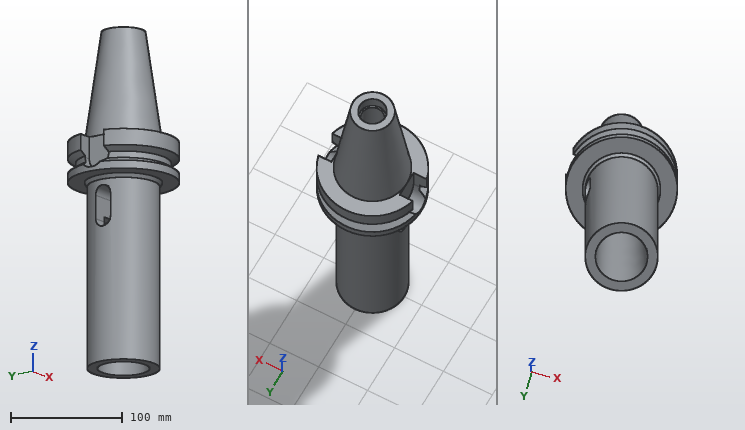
import cadquery as cq

total_length = 311.8
flange_top = 209.2
groove_upper_edge = 194.3
groove_floor_top = 190.2
groove_floor_bottom = 184.3
groove_lower_edge = 180.0
flange_bottom = 172.5
neck_bottom = 168.7

flange_diameter = 100.0
flange_radius = flange_diameter / 2
groove_radius = 43.0
taper_large_radius = 35.0
taper_ratio = 7 / 24
taper_small_radius = taper_large_radius - (total_length - flange_top) * taper_ratio / 2
neck_radius = 35.0
shank_diameter = 65.2
shank_radius = shank_diameter / 2

drive_slot_width = 25.5
drive_slot_bottom = 176.2
drive_slot_floor = 35.0

cross_slot_width = 16.2
cross_slot_top = 163.5
cross_slot_bottom = 125.3

bore_radius = 12.8
bore_depth = 12.5
thread_radius = 11.0
thread_depth = 43.5

socket_mouth_radius = 23.5
socket_depth = 137.8
socket_taper_ratio = 1 / 19
socket_end_radius = socket_mouth_radius - socket_depth * socket_taper_ratio / 2


def make_body():
    """Taper, grooved flange and shank as one revolved profile."""
    profile = [
        (0, 0),
        (shank_radius, 0),
        (shank_radius, neck_bottom),
        (neck_radius, flange_bottom),
        (flange_radius, flange_bottom),
        (flange_radius, groove_lower_edge),
        (groove_radius, groove_floor_bottom),
        (groove_radius, groove_floor_top),
        (flange_radius, groove_upper_edge),
        (flange_radius, flange_top),
        (taper_large_radius, flange_top),
        (taper_small_radius, total_length),
        (0, total_length),
    ]
    return cq.Workplane("XZ").polyline(profile).close().revolve(360, (0, 0), (0, 1))


def make_drive_slot(side):
    """Round-bottomed cutter, open at the flange top; side is +1 or -1 along X."""
    half_width = drive_slot_width / 2
    arc_center = drive_slot_bottom + half_width
    return (
        cq.Workplane("YZ", origin=(side * drive_slot_floor, 0, 0))
        .moveTo(-half_width, flange_top)
        .lineTo(-half_width, arc_center)
        .threePointArc((0, drive_slot_bottom), (half_width, arc_center))
        .lineTo(half_width, flange_top)
        .close()
        .extrude(side * flange_radius)
    )


def make_cross_slot():
    """Obround cutter passing right through the shank along X."""
    slot_center = (cross_slot_top + cross_slot_bottom) / 2
    return (
        cq.Workplane("YZ", origin=(0, 0, slot_center))
        .slot2D(cross_slot_top - cross_slot_bottom, cross_slot_width, 90)
        .extrude(2 * shank_radius, both=True)
    )


def make_bore(radius, depth):
    """Cylinder cutter sunk from the small end of the taper."""
    return cq.Workplane("XY", origin=(0, 0, total_length - depth)).circle(radius).extrude(depth)


def make_socket():
    """Slightly conical cutter entering from the free end of the shank."""
    profile = [
        (0, 0),
        (socket_mouth_radius, 0),
        (socket_end_radius, socket_depth),
        (0, socket_depth),
    ]
    return cq.Workplane("XZ").polyline(profile).close().revolve(360, (0, 0), (0, 1))


result = make_body()
for slot_side in (-1, 1):
    result = result.cut(make_drive_slot(slot_side))
result = result.cut(make_socket())
result = result.cut(make_cross_slot())
result = result.cut(make_bore(bore_radius, bore_depth))
result = result.cut(make_bore(thread_radius, thread_depth))